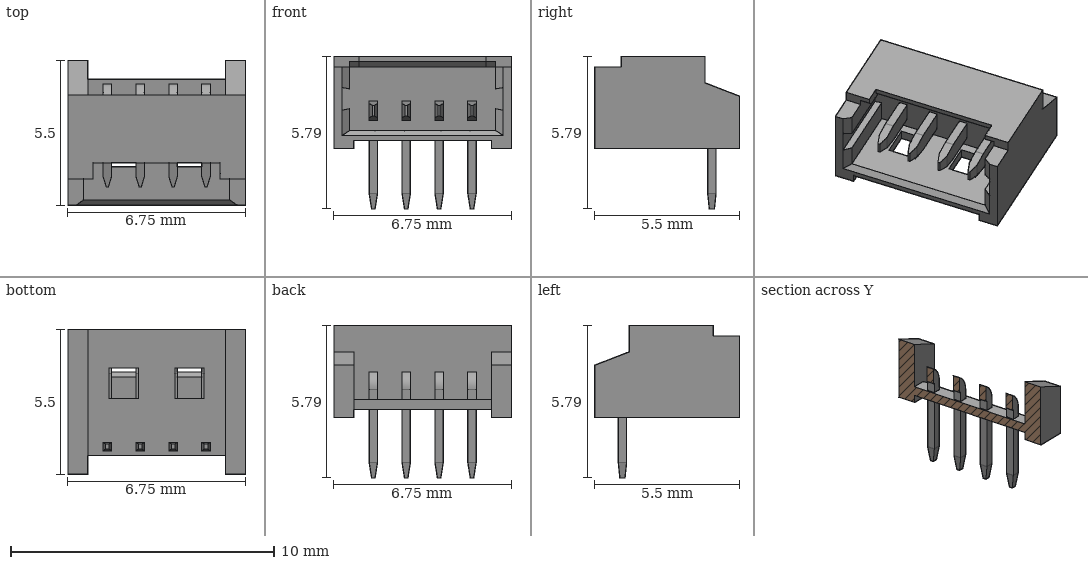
import cadquery as cq
import math


width = 6.75
depth = 5.5
housing_height = 3.495
roof_rear = 4.19
wing_width = 0.76
wing_top_front = 2.5
wing_top_rear = 1.99
underside_height = 0.3
ledge_rear = 4.79

cavity_half_width = 2.775
cavity_depth = 2.95
floor_height = 0.68
ceiling_height = 3.1
mouth_half_width = 3.06
mouth_floor_height = 0.5
lead_in = 0.2
ceiling_bevel_height = 0.2

step_depth = 1.0
notch_depth = 1.61
notch_half_width = 2.41

groove_bottom = 1.46
groove_top = 2.315
groove_bottom_taper = 0.055
groove_top_taper = 0.05

window_width = 1.11
window_front = 1.47
window_rear = 2.62

pin_count = 4
pin_pitch = 1.25
pin_thickness = 0.325
blade_bottom = 1.065
blade_height = 0.74
blade_front = 0.695
blade_height_taper_length = 0.97
blade_height_taper = 0.17
blade_side_taper_length = 0.4
blade_tip_thickness = 0.08
leg_rear = 4.61
leg_bottom = -2.3
leg_taper_length = 0.595
leg_tip_thickness = 0.135
leg_tip_depth = 0.2

leg_front = leg_rear - pin_thickness
blade_top = blade_bottom + blade_height


def block(half_width, y_range, z_range):
    """Box centred on X = 0."""
    y0, y1 = y_range
    z0, z1 = z_range
    return (
        cq.Workplane("XY")
        .box(2 * half_width, y1 - y0, z1 - z0, centered=(True, False, False))
        .translate((0, y0, z0))
    )


def side_profile(points, half_width):
    """Extrude a (Y, Z) outline equally to both sides of X = 0."""
    return cq.Workplane("YZ").polyline(points).close().extrude(half_width, both=True)


def make_shell():
    """Solid housing with two rear wings, feet and a floor ledge between the wings."""
    shell = side_profile(
        [
            (0, 0),
            (depth, 0),
            (depth, wing_top_rear),
            (roof_rear, wing_top_front),
            (roof_rear, housing_height),
            (0, housing_height),
        ],
        width / 2,
    )
    inner_half_width = width / 2 - wing_width
    above_ledge = block(inner_half_width, (roof_rear, depth), (floor_height, housing_height))
    behind_ledge = block(inner_half_width, (ledge_rear, depth), (0, housing_height))
    between_feet = block(inner_half_width, (0, depth), (0, underside_height))
    return shell.cut(above_ledge).cut(behind_ledge).cut(between_feet)


def make_roof_opening(half_width, set_back):
    """Cut-back of the roof edge plus the bevel that leads down to the ceiling."""
    opening = block(half_width, (0, set_back), (ceiling_height, housing_height))
    bevel = side_profile(
        [
            (0, ceiling_height),
            (set_back + lead_in, ceiling_height),
            (set_back, ceiling_height + ceiling_bevel_height),
            (0, ceiling_height + ceiling_bevel_height),
        ],
        min(half_width, cavity_half_width),
    )
    return opening.union(bevel)


def make_lead_in():
    """Bevelled opening: wide at the front face, cavity-sized one lead-in deeper."""
    mouth_height = ceiling_height - mouth_floor_height
    cavity_height = ceiling_height - floor_height
    return (
        cq.Workplane("XZ")
        .center(0, ceiling_height - mouth_height / 2)
        .rect(2 * mouth_half_width, mouth_height)
        .workplane(offset=-lead_in)
        .center(0, (mouth_height - cavity_height) / 2)
        .rect(2 * cavity_half_width, cavity_height)
        .loft(ruled=True)
    )


def make_grooves():
    """Both guide grooves as one bar across the cavity, flaring towards the walls."""
    inner_bottom = groove_bottom + groove_bottom_taper
    inner_top = groove_top - groove_top_taper
    outline = [
        (-mouth_half_width, groove_bottom),
        (-cavity_half_width, inner_bottom),
        (cavity_half_width, inner_bottom),
        (mouth_half_width, groove_bottom),
        (mouth_half_width, groove_top),
        (cavity_half_width, inner_top),
        (-cavity_half_width, inner_top),
        (-mouth_half_width, groove_top),
    ]
    return cq.Workplane("XZ").polyline(outline).close().extrude(-cavity_depth)


def make_window():
    """Opening through the floor between two neighbouring pins."""
    return block(window_width / 2, (window_front, window_rear), (0, floor_height))


def make_housing():
    """Shell with the cavity, its bevelled mouth, the grooves and the floor windows cut out."""
    cavity = block(cavity_half_width, (0, cavity_depth), (floor_height, ceiling_height))
    housing = (
        make_shell()
        .cut(cavity)
        .cut(make_roof_opening(width / 2, step_depth))
        .cut(make_roof_opening(notch_half_width, notch_depth))
        .cut(make_lead_in())
        .cut(make_grooves())
    )
    for side in (-1, 1):
        housing = housing.cut(make_window().translate((side * pin_pitch, 0, 0)))
    return housing


def pointed_outline(tip, taper_length, end, tip_thickness):
    """Strip of pin thickness running from a narrowed tip to a square end."""
    half_tip = tip_thickness / 2
    half_pin = pin_thickness / 2
    return [
        (-half_tip, tip),
        (half_tip, tip),
        (half_pin, tip + taper_length),
        (half_pin, end),
        (-half_pin, end),
        (-half_pin, tip + taper_length),
    ]


def make_pin():
    """Flat blade with a rounded rear corner, bent down into a pointed leg."""
    taper_end = blade_front + blade_height_taper_length
    leg_taper_top = leg_bottom + leg_taper_length
    leg_inset = (pin_thickness - leg_tip_depth) / 2
    bend_start = leg_rear - blade_height
    bend_middle_offset = blade_height * math.cos(math.radians(45))
    bend_middle = (bend_start + bend_middle_offset, blade_bottom + bend_middle_offset)
    side_view = (
        cq.Workplane("YZ")
        .moveTo(blade_front, blade_bottom + blade_height_taper)
        .lineTo(taper_end, blade_bottom)
        .lineTo(leg_front, blade_bottom)
        .lineTo(leg_front, leg_taper_top)
        .lineTo(leg_front + leg_inset, leg_bottom)
        .lineTo(leg_rear - leg_inset, leg_bottom)
        .lineTo(leg_rear, leg_taper_top)
        .lineTo(leg_rear, blade_bottom)
        .threePointArc(bend_middle, (bend_start, blade_top))
        .lineTo(taper_end, blade_top)
        .lineTo(blade_front, blade_top - blade_height_taper)
        .close()
        .extrude(pin_thickness / 2, both=True)
    )
    blade_plan = (
        cq.Workplane("XY")
        .workplane(offset=leg_bottom)
        .polyline(pointed_outline(blade_front, blade_side_taper_length, leg_rear, blade_tip_thickness))
        .close()
        .extrude(blade_top - leg_bottom)
    )
    leg_front_view = (
        cq.Workplane("XZ")
        .polyline(pointed_outline(leg_bottom, leg_taper_length, blade_top, leg_tip_thickness))
        .close()
        .extrude(-leg_rear)
    )
    return side_view.intersect(blade_plan).intersect(leg_front_view)


result = make_housing()
for index in range(pin_count):
    pin_x = (index - (pin_count - 1) / 2) * pin_pitch
    result = result.union(make_pin().translate((pin_x, 0, 0)))